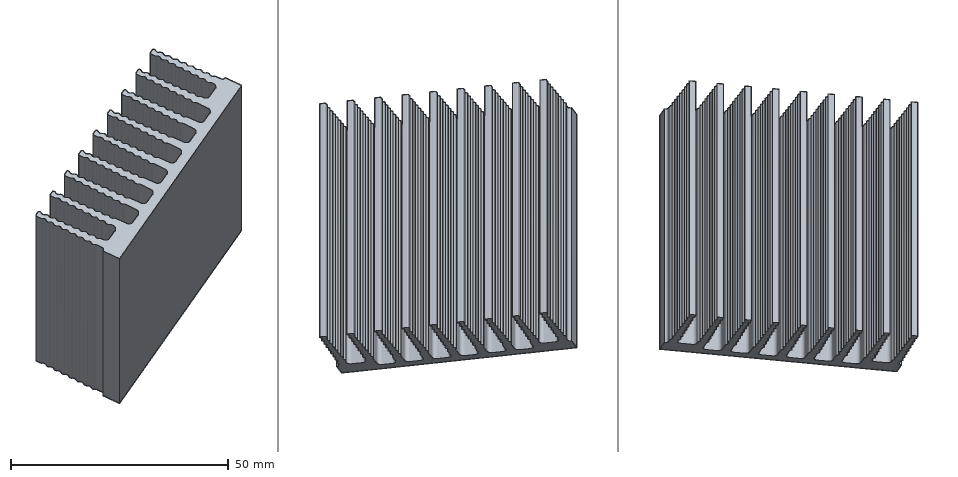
import cadquery as cq
import math

DEPTH = 22.9
WIDTH = 56.4
LENGTH = 57.9

BASE_THICKNESS = 2.5
END_THICKNESS = 4.85
EDGE_THICKNESS = 4.4

FIN_COUNT = 9
FIN_PITCH = 6.6
TIP_THICKNESS = 1.15
FLANK_ANGLE = 1.5
ROOT_OVERLAP = 0.6

WAVE_PITCH = 2.0
WAVE_COUNT = 8
WAVE_HEIGHT = 0.375
FIRST_CREST = 0.3

TIP_RADIUS = 0.3
POCKET_RADIUS = 1.0
EDGE_STEP_RADIUS = 0.65

QUARTER_WAVE = WAVE_PITCH / 4
ARC_RISE = WAVE_HEIGHT / 2
ARC_RADIUS = (QUARTER_WAVE**2 + ARC_RISE**2) / (2 * ARC_RISE)
FIRST_VALLEY = FIRST_CREST + WAVE_PITCH / 2
LAST_CREST = FIRST_CREST + WAVE_COUNT * WAVE_PITCH

POCKET_FLOOR = DEPTH - BASE_THICKNESS
END_POCKET_FLOOR = DEPTH - END_THICKNESS
EDGE_STEP = DEPTH - EDGE_THICKNESS
OUTER_FIN_Y = FIN_PITCH * (FIN_COUNT - 1) / 2
SECOND_FIN_Y = OUTER_FIN_Y - FIN_PITCH


def wave_offset(x):
    """Shift of the fin towards -Y at x, made of equal arcs bulging to alternate sides."""
    from_crest = abs((x - FIRST_CREST + WAVE_PITCH / 2) % WAVE_PITCH - WAVE_PITCH / 2)
    if from_crest <= QUARTER_WAVE:
        return ARC_RADIUS - math.sqrt(ARC_RADIUS**2 - from_crest**2)
    from_valley = WAVE_PITCH / 2 - from_crest
    return WAVE_HEIGHT - ARC_RADIUS + math.sqrt(ARC_RADIUS**2 - from_valley**2)


def half_thickness(x):
    return TIP_THICKNESS / 2 + x * math.tan(math.radians(FLANK_ANGLE))


def flank_point(x, side, offset):
    """Point on the +Y (side = 1) or -Y (side = -1) flank of a fin centred on Y = 0."""
    return (x, side * half_thickness(x) - offset)


def wavy_flank(outline, side, turning_points):
    """Continue the outline through the given inflections and ends with one arc between each two."""
    for start, end in zip(turning_points, turning_points[1:]):
        middle = (start + end) / 2
        outline = outline.threePointArc(
            flank_point(middle, side, wave_offset(middle)),
            flank_point(end, side, wave_offset(end)),
        )
    return outline


def make_fin(root_x):
    inflections = [
        FIRST_CREST + QUARTER_WAVE + i * WAVE_PITCH / 2 for i in range(2 * WAVE_COUNT)
    ]
    upper_turns = [FIRST_CREST] + inflections + [LAST_CREST]
    lower_turns = [FIRST_VALLEY] + inflections[1:] + [LAST_CREST]

    outline = cq.Workplane("XY").moveTo(*flank_point(0, 1, 0))
    outline = outline.lineTo(*flank_point(FIRST_CREST, 1, 0))
    outline = wavy_flank(outline, 1, upper_turns)
    outline = outline.lineTo(*flank_point(root_x, 1, 0))
    outline = outline.lineTo(*flank_point(root_x, -1, 0))
    outline = outline.lineTo(*flank_point(LAST_CREST, -1, 0))
    outline = wavy_flank(outline, -1, lower_turns[::-1])
    outline = outline.lineTo(*flank_point(0, -1, WAVE_HEIGHT))
    return outline.close().extrude(LENGTH).edges("|Z and <X").fillet(TIP_RADIUS)


def make_base():
    half_outline = [
        (POCKET_FLOOR, SECOND_FIN_Y),
        (END_POCKET_FLOOR, SECOND_FIN_Y),
        (END_POCKET_FLOOR, OUTER_FIN_Y),
        (EDGE_STEP, OUTER_FIN_Y),
        (EDGE_STEP, WIDTH / 2),
        (DEPTH, WIDTH / 2),
    ]
    mirrored_half = [(x, -y) for x, y in reversed(half_outline)]
    return cq.Workplane("XY").polyline(half_outline + mirrored_half).close().extrude(LENGTH)


def round_corners(body, floor_x, y_limit, radius):
    """Fillet the Z edges where the fins meet the base at floor_x, within |Y| < y_limit."""
    tolerance = 0.005
    region = cq.selectors.BoxSelector(
        (floor_x - tolerance, -y_limit, 0),
        (floor_x + tolerance, y_limit, LENGTH),
    )
    return body.edges("|Z").edges(region).fillet(radius)


body = make_base()
fin = make_fin(POCKET_FLOOR + ROOT_OVERLAP)
for i in range(FIN_COUNT):
    body = body.union(fin.translate((0, i * FIN_PITCH - OUTER_FIN_Y, 0)))

body = round_corners(body, POCKET_FLOOR, OUTER_FIN_Y, POCKET_RADIUS)
body = round_corners(body, END_POCKET_FLOOR, OUTER_FIN_Y, POCKET_RADIUS)
body = round_corners(body, EDGE_STEP, (WIDTH - EDGE_STEP_RADIUS) / 2, EDGE_STEP_RADIUS)

result = body